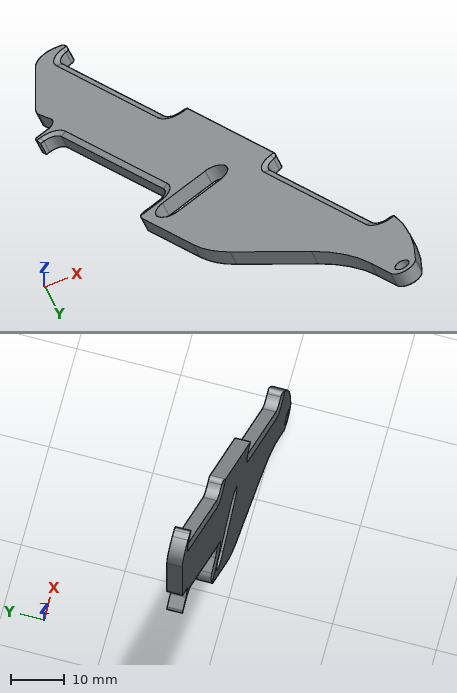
import cadquery as cq
import math

WIDTH = 78.0
HEIGHT = 130.8
THICKNESS = 3.0

TILT = math.radians(32)
RIGHT_EDGE = 4.8
SHOULDER_EDGE = -20.7
THUMB_EDGE = -16.1

NOTCH_LENGTH = 44.6
NOTCH_CORNER_RADIUS = 2.6
RIGHT_NOTCH_FLOOR = 1.3
LEFT_NOTCH_FLOOR = -12.7
UPPER_RIGHT_NOTCH_START = 5.4
LOWER_RIGHT_NOTCH_START = 85.8
LEFT_NOTCH_START = 27.5
LEFT_NOTCH_END = LEFT_NOTCH_START + NOTCH_LENGTH
NOTCH_REACH = 10.5
NOTCH_TIP_RADIUS = 1.0

BEVEL_WIDTH = 1.2
BEVEL_DEPTH = 0.4

TAIL_RADIUS = 2.7
TAIL_X = WIDTH - TAIL_RADIUS
TAIL_Z = TAIL_RADIUS
PIVOT_DIAMETER = 2.9
NOSE_RADIUS = 42.5

BELLY_START = 99.8
BELLY_END = 131.7
BELLY_UPPER_RADIUS = 26.8
BELLY_LOWER_RADIUS = 43.2
SHOULDER_RADIUS = 2.4

THUMB_TOP = 25.4
THUMB_RADIUS = 0.7
RECESS_BOTTOM_ACROSS = -10.5
RECESS_RADIUS = 2.2
RECESS_TOP_Z = 110.1
RECESS_TOP_RADIUS = 3.9

HOOK_RADIUS = 4.0
HOOK_TIP_RADIUS = 0.7

SLOT_ALONG = 77.5
SLOT_ACROSS = -10.6
SLOT_CENTERS = 10.3
SLOT_WIDTH = 6.0


def blade_point(along, across):
    """Convert blade coordinates to X, Z."""
    x = along * math.sin(TILT) + across * math.cos(TILT)
    z = HEIGHT - along * math.cos(TILT) + across * math.sin(TILT)
    return x, z


def blade_across(x, z):
    """Across-blade coordinate of a point in X, Z."""
    return x * math.cos(TILT) + (z - HEIGHT) * math.sin(TILT)


def point_at_x(x, across):
    """Point at a given X on a line running along the blade."""
    along = (x - across * math.cos(TILT)) / math.sin(TILT)
    return blade_point(along, across)


def rounded_outline(corners, y=0.0):
    """Closed wire at depth y through (point, radius) corners, each rounded by a tangent arc."""
    vectors = [cq.Vector(p[0], y, p[1]) for p, _ in corners]
    rounded = []
    for i, (_, radius) in enumerate(corners):
        corner = vectors[i]
        back = (vectors[i - 1] - corner).normalized()
        ahead = (vectors[(i + 1) % len(vectors)] - corner).normalized()
        half_angle = back.getAngle(ahead) / 2
        setback = radius / math.tan(half_angle)
        bisector = (back + ahead).normalized()
        middle = corner + bisector * (radius / math.sin(half_angle) - radius)
        rounded.append((corner + back * setback, middle, corner + ahead * setback))
    edges = []
    for i, (start, middle, end) in enumerate(rounded):
        edges.append(cq.Edge.makeLine(rounded[i - 1][2], start))
        edges.append(cq.Edge.makeThreePointArc(start, middle, end))
    return cq.Wire.assembleEdges(edges)


def plate():
    """Plate with plain edges, before the notches are cut."""
    tail_edge = blade_across(TAIL_X, TAIL_Z) - TAIL_RADIUS
    hook_tip = blade_point(RIGHT_EDGE * math.tan(TILT), RIGHT_EDGE)
    corners = [
        ((0, HEIGHT), HOOK_RADIUS),
        (hook_tip, HOOK_TIP_RADIUS),
        (point_at_x(WIDTH, RIGHT_EDGE), NOSE_RADIUS),
        (point_at_x(WIDTH, tail_edge), TAIL_RADIUS),
        (blade_point(BELLY_END, tail_edge), BELLY_LOWER_RADIUS),
        (blade_point(BELLY_START, SHOULDER_EDGE), BELLY_UPPER_RADIUS),
        (blade_point(LEFT_NOTCH_END, SHOULDER_EDGE), SHOULDER_RADIUS),
        (blade_point(LEFT_NOTCH_END, THUMB_EDGE), THUMB_RADIUS),
        (blade_point(THUMB_TOP, THUMB_EDGE), THUMB_RADIUS),
        (blade_point(THUMB_TOP, RECESS_BOTTOM_ACROSS), RECESS_RADIUS),
        ((0, RECESS_TOP_Z), RECESS_TOP_RADIUS),
    ]
    face = cq.Face.makeFromWires(rounded_outline(corners))
    return cq.Workplane(cq.Solid.extrudeLinear(face, cq.Vector(0, THICKNESS, 0)))


def notch_outline(start, floor, outward, growth, y):
    """Notch outline enlarged by growth; outward is +1 on the right edge, -1 on the left."""
    near = start - growth
    far = start + NOTCH_LENGTH + growth
    inner = floor - outward * growth
    outer = floor + outward * NOTCH_REACH
    radius = NOTCH_CORNER_RADIUS + growth
    ends = [(near, inner), (far, inner), (far, outer), (near, outer)]
    return rounded_outline([(blade_point(*end), radius) for end in ends], y)


def notch_cutter(start, floor, outward):
    """Straight notch through the plate."""
    face = cq.Face.makeFromWires(notch_outline(start, floor, outward, 0, 0))
    return cq.Workplane(cq.Solid.extrudeLinear(face, cq.Vector(0, THICKNESS, 0)))


def bevel_cutter(start, floor, outward):
    """Flared mouth that bevels the front rim of a notch."""
    mouth = notch_outline(start, floor, outward, BEVEL_WIDTH, 0)
    throat = notch_outline(start, floor, outward, 0, BEVEL_DEPTH)
    return cq.Workplane(cq.Solid.makeLoft([mouth, throat], True))


def round_tip(body, along, across):
    """Round the sharp edge where a notch wall meets the outer edge."""
    x, z = blade_point(along, across)
    tip = cq.selectors.NearestToPointSelector((x, THICKNESS / 2, z))
    return body.edges("|Y").edges(tip).fillet(NOTCH_TIP_RADIUS)


def slot_cutter():
    """Round-ended slot through the plate."""
    x, z = blade_point(SLOT_ALONG, SLOT_ACROSS)
    return (
        cq.Workplane("XZ", origin=(x, 0, z))
        .slot2D(SLOT_CENTERS + SLOT_WIDTH, SLOT_WIDTH, math.degrees(TILT))
        .extrude(-THICKNESS)
    )


def pivot_cutter():
    """Pivot hole concentric with the tail."""
    return cq.Workplane("XZ", origin=(TAIL_X, 0, TAIL_Z)).circle(PIVOT_DIAMETER / 2).extrude(-THICKNESS)


notches = [
    (UPPER_RIGHT_NOTCH_START, RIGHT_NOTCH_FLOOR, 1),
    (LOWER_RIGHT_NOTCH_START, RIGHT_NOTCH_FLOOR, 1),
    (LEFT_NOTCH_START, LEFT_NOTCH_FLOOR, -1),
]

result = plate()
for notch in notches:
    result = result.cut(notch_cutter(*notch))

for notch_start in (UPPER_RIGHT_NOTCH_START, LOWER_RIGHT_NOTCH_START):
    result = round_tip(result, notch_start, RIGHT_EDGE)
    result = round_tip(result, notch_start + NOTCH_LENGTH, RIGHT_EDGE)

for notch in notches:
    result = result.cut(bevel_cutter(*notch))

result = result.cut(slot_cutter()).cut(pivot_cutter())